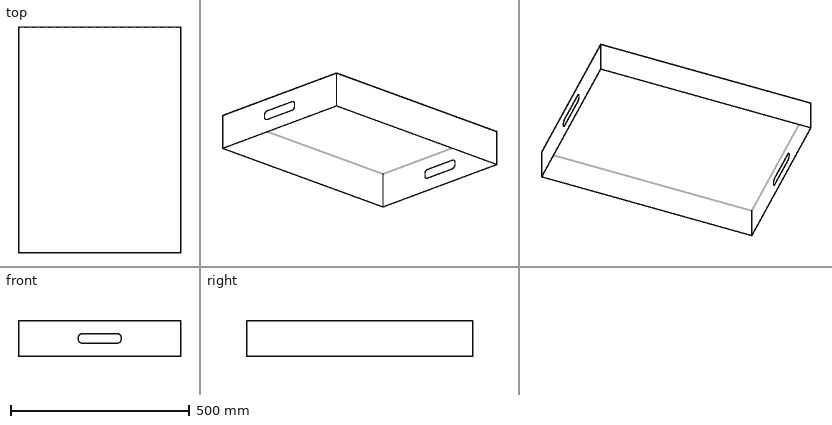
import cadquery as cq

width = 455.0
length = 634.0
height = 100.0

sheet = 1.0
inner_bend_radius = 0.5
outer_bend_radius = inner_bend_radius + sheet

handle_width = 120.0
handle_height = 26.0
handle_corner_radius = 10.0
handle_center_z = height / 2


def rounded_block(block_width, block_length, block_height, radius):
    """Block standing on Z = 0 with its four top edges rounded."""
    block = cq.Workplane("XY").box(block_width, block_length, block_height, centered=(True, True, False))
    return block.faces(">Z").edges().fillet(radius)


def folded_tray():
    """Sheet metal tray, open underneath, with a bend along each top edge."""
    outside = rounded_block(width, length, height, outer_bend_radius)
    cavity = rounded_block(width - 2 * sheet, length - 2 * sheet, height - sheet, inner_bend_radius)
    return outside.cut(cavity)


def handle_cutter():
    """Rounded bar along Y that pierces both end walls."""
    bar = cq.Workplane("XY").box(handle_width, 2 * length, handle_height)
    return bar.edges("|Y").fillet(handle_corner_radius).translate((0, 0, handle_center_z))


result = folded_tray().cut(handle_cutter())